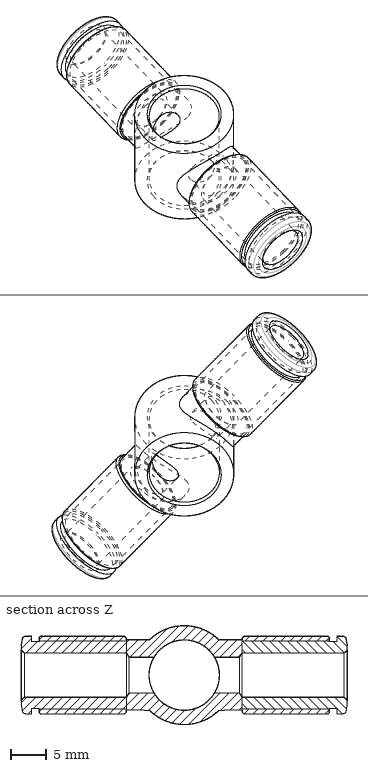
import cadquery as cq

overall_length = 46.0
half_length = overall_length / 2

hub_diameter = 14.0
hub_height = 15.0
hub_bore_diameter = 9.9
hub_chamfer_width = 0.28
hub_chamfer_depth = 0.45

branch_diameter = 10.0
sleeve_diameter = 11.0
sleeve_outer_end = half_length - 2.55
sleeve_inner_end = half_length - 14.85
sleeve_outer_chamfer = 0.2
sleeve_inner_chamfer = 0.28

passage_diameter = 5.0
passage_cone_length = 0.35

collar_diameter = sleeve_diameter
collar_rim_length = 1.45
collar_rounding = 0.5
collar_cone_length = 0.15
collar_face_diameter = 8.45
stem_diameter = 9.5
tube_bore_diameter = 6.2
entry_diameter = 7.15
entry_depth = 0.45
stem_end = sleeve_inner_end

X_AXIS_START = (0, 0, 0)
X_AXIS_END = (1, 0, 0)


def revolve_about_x(profile):
    """Revolve a closed (x, radius) profile a full turn about the X axis."""
    return profile.close().revolve(360, X_AXIS_START, X_AXIS_END)


def mirrored_copy(shape):
    return shape.mirror("YZ")


def make_branch():
    """Solid +X branch: narrow neck and chamfered sleeve."""
    sleeve_radius = sleeve_diameter / 2
    branch_radius = branch_diameter / 2
    return revolve_about_x(
        cq.Workplane("XY")
        .lineTo(0, branch_radius)
        .lineTo(sleeve_inner_end, branch_radius)
        .lineTo(sleeve_inner_end, sleeve_radius - sleeve_inner_chamfer)
        .lineTo(sleeve_inner_end + sleeve_inner_chamfer, sleeve_radius)
        .lineTo(sleeve_outer_end - sleeve_outer_chamfer, sleeve_radius)
        .lineTo(sleeve_outer_end, sleeve_radius - sleeve_outer_chamfer)
        .lineTo(sleeve_outer_end, 0)
    )


def make_branch_bore():
    """Cutter for the +X branch: passage, cone and the socket for the collar stem."""
    return revolve_about_x(
        cq.Workplane("XY")
        .lineTo(0, passage_diameter / 2)
        .lineTo(stem_end - passage_cone_length, passage_diameter / 2)
        .lineTo(stem_end, tube_bore_diameter / 2)
        .lineTo(stem_end, stem_diameter / 2)
        .lineTo(half_length, stem_diameter / 2)
        .lineTo(half_length, 0)
    )


def make_hub_bore():
    """Cutter for the vertical bore, chamfered at both ends."""
    half_height = hub_height / 2
    bore_radius = hub_bore_diameter / 2
    mouth_radius = bore_radius + hub_chamfer_width
    return (
        cq.Workplane("XZ")
        .moveTo(0, -half_height)
        .lineTo(mouth_radius, -half_height)
        .lineTo(bore_radius, -half_height + hub_chamfer_depth)
        .lineTo(bore_radius, half_height - hub_chamfer_depth)
        .lineTo(mouth_radius, half_height)
        .lineTo(0, half_height)
        .close()
        .revolve(360, (0, 0, 0), (0, 1, 0))
    )


def make_body():
    hub = cq.Workplane("XY").circle(hub_diameter / 2).extrude(hub_height / 2, both=True)
    branch = make_branch()
    branch_bore = make_branch_bore()
    return (
        hub.union(branch)
        .union(mirrored_copy(branch))
        .cut(make_hub_bore())
        .cut(branch_bore)
        .cut(mirrored_copy(branch_bore))
    )


def make_collar():
    """Release collar at the +X end: stem, rounded rim, shallow conical face and tube bore."""
    rim_radius = collar_diameter / 2
    rim_inner_end = half_length - collar_rim_length
    cone_start = half_length - collar_cone_length
    rounding_centre_x = cone_start - collar_rounding
    rounding_centre_radius = rim_radius - collar_rounding
    arc_offset = collar_rounding * 0.5**0.5
    return revolve_about_x(
        cq.Workplane("XY")
        .moveTo(stem_end, tube_bore_diameter / 2)
        .lineTo(stem_end, stem_diameter / 2)
        .lineTo(rim_inner_end, stem_diameter / 2)
        .lineTo(rim_inner_end, rim_radius)
        .lineTo(rounding_centre_x, rim_radius)
        .threePointArc(
            (rounding_centre_x + arc_offset, rounding_centre_radius + arc_offset),
            (cone_start, rounding_centre_radius),
        )
        .lineTo(half_length, collar_face_diameter / 2)
        .lineTo(half_length, entry_diameter / 2)
        .lineTo(half_length - entry_depth, tube_bore_diameter / 2)
    )


body = make_body()
collars = []
for place in (lambda shape: shape, mirrored_copy):
    collars.append(place(make_collar()))

result = cq.Compound.makeCompound([body.val(), *[collar.val() for collar in collars]])